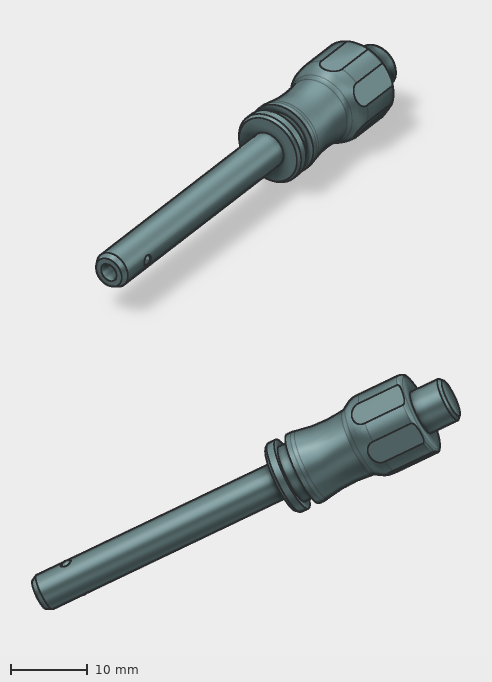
import cadquery as cq
import math

total_length = 60.9
button_end = total_length / 2
tip_end = -total_length / 2

knob_top = 4.45
shoulder_start = 10.65
shoulder_end = 13.1
throat_start = 13.75
throat_narrowest = 16.5
throat_end = 20.6
lip_start = 21.15
groove_start = 21.85
groove_end = 23.5
flange_end = 25.0
cross_hole_position = 6.95
ball_position = 55.65

button_diameter = 6.0
button_chamfer = 0.4

knob_diameter = 11.5
knob_across_flats = 11.0
knob_fillet = 0.55
shoulder_radius = 4.15
flat_count = 6

throat_radius = 4.45
throat_arc_radius = 18.9
flange_diameter = 10.0
flange_chamfer_width = 0.35
flange_chamfer_length = 0.4
groove_diameter = 8.0

shank_diameter = 5.0
tip_chamfer_width = 0.4
tip_chamfer_length = 0.8
bore_diameter = 2.5
bore_depth = 2.5

ball_diameter = 1.5
ball_protrusion = 0.215
cross_hole_diameter = 1.3
cross_hole_depth = 1.3


def along(distance):
    """Y coordinate at a distance from the button end."""
    return button_end - distance


def shoulder_surface(distance):
    """Radius of the rounded shoulder below the knob."""
    run = distance - shoulder_start
    return knob_diameter / 2 - shoulder_radius + math.sqrt(shoulder_radius**2 - run**2)


def throat_surface(distance):
    """Radius of the concave throat."""
    run = distance - throat_narrowest
    return throat_radius + throat_arc_radius - math.sqrt(throat_arc_radius**2 - run**2)


def profile_point(surface, distance):
    return (surface(distance), along(distance))


def make_button():
    button = cq.Workplane("XZ", origin=(0, button_end, 0)).circle(button_diameter / 2).extrude(knob_top)
    return button.faces(">Y").chamfer(button_chamfer)


def make_handle():
    knob_radius = knob_diameter / 2
    flange_radius = flange_diameter / 2
    groove_radius = groove_diameter / 2
    fillet_inset = 1 - math.sqrt(0.5)
    shoulder_middle = (shoulder_start + shoulder_end) / 2
    profile = (
        cq.Workplane("XY")
        .moveTo(0, along(knob_top))
        .lineTo(knob_radius - knob_fillet, along(knob_top))
        .threePointArc(
            (knob_radius - knob_fillet * fillet_inset, along(knob_top + knob_fillet * fillet_inset)),
            (knob_radius, along(knob_top + knob_fillet)),
        )
        .lineTo(knob_radius, along(shoulder_start))
        .threePointArc(
            profile_point(shoulder_surface, shoulder_middle),
            profile_point(shoulder_surface, shoulder_end),
        )
        .tangentArcPoint(profile_point(throat_surface, throat_start), relative=False)
        .threePointArc(
            profile_point(throat_surface, throat_narrowest),
            profile_point(throat_surface, throat_end),
        )
        .tangentArcPoint((flange_radius, along(lip_start)), relative=False)
        .lineTo(flange_radius, along(groove_start))
        .lineTo(groove_radius, along(groove_start))
        .lineTo(groove_radius, along(groove_end))
        .lineTo(flange_radius, along(groove_end))
        .lineTo(flange_radius, along(flange_end - flange_chamfer_length))
        .lineTo(flange_radius - flange_chamfer_width, along(flange_end))
        .lineTo(0, along(flange_end))
        .close()
    )
    return profile.revolve(360, (0, 0, 0), (0, 1, 0))


def cut_flats(handle):
    """Mill the six knob flats, two of them facing +Z and -Z."""
    apothem = knob_across_flats / 2
    cutter = (
        cq.Workplane("XY", origin=(0, along((knob_top + shoulder_end) / 2), apothem))
        .rect(knob_diameter / 2, shoulder_end - knob_top)
        .extrude(knob_diameter)
    )
    for index in range(flat_count):
        handle = handle.cut(cutter.rotate((0, 0, 0), (0, 1, 0), index * 360 / flat_count))
    return handle


def make_shank():
    shank_radius = shank_diameter / 2
    profile = (
        cq.Workplane("XY")
        .moveTo(0, along(flange_end))
        .lineTo(shank_radius, along(flange_end))
        .lineTo(shank_radius, tip_end + tip_chamfer_length)
        .lineTo(shank_radius - tip_chamfer_width, tip_end)
        .lineTo(bore_diameter / 2, tip_end)
        .lineTo(bore_diameter / 2, tip_end + bore_depth)
        .lineTo(0, tip_end + bore_depth)
        .close()
    )
    return profile.revolve(360, (0, 0, 0), (0, 1, 0))


def add_balls(body):
    """Set a locking ball in each side of the shank, in a socket as deep as the ball's equator."""
    ball_radius = ball_diameter / 2
    offset = shank_diameter / 2 + ball_protrusion - ball_radius
    for side in (-1, 1):
        center = (side * offset, along(ball_position), 0)
        ball = cq.Workplane("XY", origin=center).sphere(ball_radius)
        socket = cq.Workplane("YZ", origin=center).circle(ball_radius).extrude(side * ball_diameter)
        body = body.cut(socket).union(ball)
    return body


def cut_cross_hole(body):
    """Drill the blind hole in the -X side of the knob."""
    hole = (
        cq.Workplane("YZ", origin=(-knob_diameter / 2, along(cross_hole_position), 0))
        .circle(cross_hole_diameter / 2)
        .extrude(cross_hole_depth)
    )
    return body.cut(hole)


handle = cut_flats(make_handle())
body = make_button().union(handle).union(make_shank())
result = cut_cross_hole(add_balls(body))